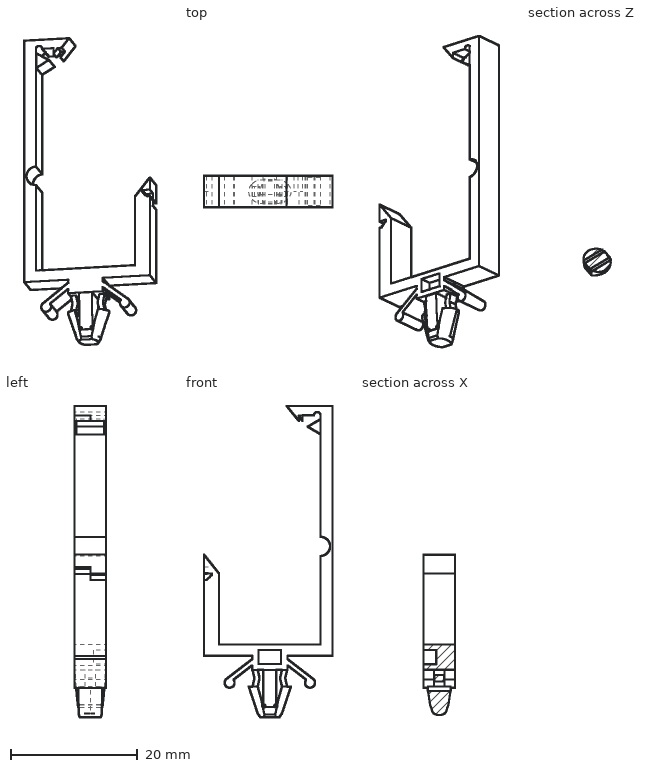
import cadquery as cq
import math

depth = 5.0
inner_half_width = 8.0
latch_arm_thickness = 2.4
long_arm_thickness = 1.9
floor_thickness = 1.8
frame_height = 39.5
x_left = -inner_half_width - latch_arm_thickness
x_right = inner_half_width + long_arm_thickness

latch_arm_height = 16.0
latch_slope_drop = 3.0
notch_depth = 1.23
notch_lip_depth = 0.4
notch_height = 1.05
notch_back_height = 0.27
notch_top_front = 13.05
notch_step = 0.95

hook_length = 7.27
hook_thickness = 1.5
tooth_drop = 2.4
tooth_reach = 1.94
tooth_stagger = 0.6
tooth_length = 0.95
hinge_groove_radius = 0.5
bend_groove_radius = 1.5
bend_groove_height = 17.3

wedge_height = 36.2
wedge_half_base = 1.2
wedge_reach = 2.05
wedge_width = 4.4

block_half_width = 2.8
block_drop = 2.2
pocket_width = 3.6
pocket_bottom = -1.3
pocket_top = 0.9
pocket_depth = 2.0

wing_bead_x = 6.35
wing_bead_z = -4.25
wing_bead_radius = 0.8
wing_angle = math.radians(37.6)
wing_root_x = block_half_width - 0.5

barb_top = -4.85
taper_end = -9.1
anchor_bottom = -9.7
barb_radii = (3.35, 2.2)
taper_end_radii = (1.93, 2.09)
tip_radii = (1.5, 2.05)
leg_width = 3.7
tip_chamfer_height = 0.45
tip_chamfer_inset = 0.2
post_half_width = 1.04
post_bottom = -8.1
post_half_depth_top = 2.35
post_half_depth_bottom = 1.93
leg_inner_top = 1.9
relief_radius = 0.22
relief_x = 0.95
relief_z = -7.9

neck_thickness = 0.85
neck_bend = 0.3
neck_width = 1.6


def prism(outline, width=depth, y_front=-depth / 2):
    """Solid from a closed XZ outline, running from y_front toward +Y."""
    return cq.Workplane("XZ", origin=(0, y_front, 0)).polyline(outline).close().extrude(-width)


def cross_rod(x, z, radius):
    """Cylinder along Y over the full depth."""
    return cq.Workplane("XZ", origin=(0, -depth / 2, 0)).center(x, z).circle(radius).extrude(-depth)


def mirrored_pair(half):
    """The given solid together with its mirror image across X = 0."""
    return half.union(half.mirror("YZ"))


def make_frame():
    hook_underside = frame_height - hook_thickness
    outline = [
        (x_left, 0),
        (x_right, 0),
        (x_right, frame_height),
        (x_right - hook_length, frame_height),
        (x_right - hook_length + tooth_reach * hook_thickness / tooth_drop, hook_underside),
        (inner_half_width, hook_underside),
        (inner_half_width, floor_thickness),
        (-inner_half_width, floor_thickness),
        (-inner_half_width, latch_arm_height - latch_slope_drop),
        (x_left, latch_arm_height),
    ]
    hinge_groove = cross_rod(inner_half_width - hinge_groove_radius, hook_underside, hinge_groove_radius)
    bend_groove = cross_rod(inner_half_width, bend_groove_height, bend_groove_radius)
    return prism(outline).cut(hinge_groove).cut(bend_groove)


def make_tooth(shift, y_front):
    """Hook tooth over half the depth, with an upright catch face and a sloped lead-in."""
    tip_x = x_right - hook_length + tooth_reach + shift
    tip_z = frame_height - tooth_drop
    root_z = tip_z + tooth_length
    root_x = tip_x - tooth_length * tooth_reach / tooth_drop
    return prism([(root_x, root_z), (tip_x, root_z), (tip_x, tip_z)], depth / 2, y_front)


def make_latch_notch(top, y_front):
    """Notch over half the depth in the outer face of the short arm, with a sloped floor."""
    back_x = x_left + notch_depth
    bottom = top - notch_height
    outline = [
        (x_left, top),
        (back_x, top),
        (back_x, top - notch_back_height),
        (x_left + notch_lip_depth, bottom),
        (x_left, bottom),
    ]
    return prism(outline, depth / 2, y_front)


def make_wedge():
    outline = [
        (inner_half_width, wedge_height - wedge_half_base),
        (inner_half_width, wedge_height + wedge_half_base),
        (inner_half_width - wedge_reach, wedge_height),
    ]
    return prism(outline, wedge_width, -wedge_width / 2)


def make_block():
    return prism([
        (-block_half_width, floor_thickness),
        (block_half_width, floor_thickness),
        (block_half_width, -block_drop),
        (-block_half_width, -block_drop),
    ])


def make_pocket():
    half = pocket_width / 2
    outline = [(-half, pocket_bottom), (half, pocket_bottom), (half, pocket_top), (-half, pocket_top)]
    return prism(outline, pocket_depth)


def make_wing():
    """Sloped arm with its upper face tangent to the bead and its lower face aimed at the bead centre."""
    slope = math.tan(wing_angle)
    tangent_x = wing_bead_x + wing_bead_radius * math.sin(wing_angle)
    tangent_z = wing_bead_z + wing_bead_radius * math.cos(wing_angle)
    arm = prism([
        (wing_root_x, wing_bead_z + (wing_bead_x - wing_root_x) * slope),
        (wing_root_x, tangent_z + (tangent_x - wing_root_x) * slope),
        (tangent_x, tangent_z),
        (wing_bead_x, wing_bead_z),
    ])
    return arm.union(cross_rod(wing_bead_x, wing_bead_z, wing_bead_radius))


def make_taper():
    """Elliptical cone from the barb shoulder down to the chamfered tip."""
    return (
        cq.Workplane("XY", origin=(0, 0, barb_top)).ellipse(*barb_radii)
        .workplane(offset=taper_end - barb_top).ellipse(*taper_end_radii)
        .workplane(offset=anchor_bottom - taper_end).ellipse(*tip_radii)
        .loft(ruled=True)
    )


def make_post():
    """Centre post whose front and back faces curve inward toward the tip."""
    drop = -block_drop - post_bottom
    inset = post_half_depth_top - post_half_depth_bottom
    radius = (drop ** 2 + inset ** 2) / (2 * inset)
    middle_z = -block_drop - drop / 2
    middle_y = post_half_depth_top - radius + math.sqrt(radius ** 2 - (drop / 2) ** 2)
    return (
        cq.Workplane("YZ", origin=(-post_half_width, 0, 0))
        .moveTo(-post_half_depth_top, -block_drop)
        .lineTo(post_half_depth_top, -block_drop)
        .threePointArc((middle_y, middle_z), (post_half_depth_bottom, post_bottom))
        .lineTo(-post_half_depth_bottom, post_bottom)
        .threePointArc((-middle_y, middle_z), (-post_half_depth_top, -block_drop))
        .close()
        .extrude(2 * post_half_width)
    )


def make_legs():
    """Elliptical taper with flat front and back, chamfered at the tip and hollowed beside the post."""
    half_width = leg_width / 2
    chamfer_top = anchor_bottom + tip_chamfer_height
    tip_half_width = half_width - tip_chamfer_inset
    slab = (
        cq.Workplane("YZ", origin=(-barb_radii[0], 0, 0))
        .polyline([
            (-half_width, barb_top),
            (half_width, barb_top),
            (half_width, chamfer_top),
            (tip_half_width, anchor_bottom),
            (-tip_half_width, anchor_bottom),
            (-half_width, chamfer_top),
        ])
        .close()
        .extrude(2 * barb_radii[0])
    )
    gap = prism([
        (-leg_inner_top, barb_top),
        (leg_inner_top, barb_top),
        (post_half_width, relief_z),
        (-post_half_width, relief_z),
    ])
    return make_taper().intersect(slab).cut(gap)


def make_neck():
    """Thin bent strip joining the block to the top of a leg."""
    middle_z = (barb_top - block_drop) / 2
    outer_x = leg_inner_top + neck_thickness
    outline = [
        (leg_inner_top, -block_drop),
        (leg_inner_top - neck_bend, middle_z),
        (leg_inner_top, barb_top),
        (outer_x, barb_top),
        (outer_x - neck_bend, middle_z),
        (outer_x, -block_drop),
    ]
    return prism(outline, neck_width, -neck_width / 2)


def make_anchor():
    reliefs = mirrored_pair(cross_rod(relief_x, relief_z, relief_radius))
    return make_legs().union(make_post()).cut(reliefs).union(mirrored_pair(make_neck()))


result = (
    make_frame()
    .union(make_tooth(0, -depth / 2))
    .union(make_tooth(tooth_stagger, 0))
    .cut(make_latch_notch(notch_top_front, -depth / 2))
    .cut(make_latch_notch(notch_top_front + notch_step, 0))
    .union(make_wedge())
    .union(make_block())
    .cut(make_pocket())
    .union(mirrored_pair(make_wing()))
    .union(make_anchor())
)